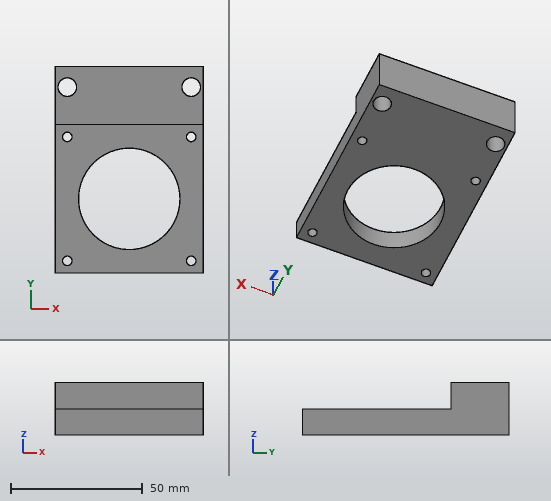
import cadquery as cq

width = 56.4
length = 78.5
height = 20.0

plate_thickness = 10.0
block_length = length - width
plate_center_y = (width - length) / 2
block_center_y = (length - block_length) / 2

bore_diameter = 38.5
screw_diameter = 3.5
hole_pitch = 47.1
mount_diameter = 7.0
mount_back_offset = 7.85
mount_y = length / 2 - mount_back_offset


def box_on_base(size_y, size_z, center_y):
    """Full-width box resting on Z = 0."""
    return (
        cq.Workplane("XY")
        .center(0, center_y)
        .rect(width, size_y)
        .extrude(size_z)
    )


def through_holes(diameter, points):
    """Vertical cylinders that pass through the full height."""
    return cq.Workplane("XY").pushPoints(points).circle(diameter / 2).extrude(height)


half_pitch = hole_pitch / 2
screw_points = [
    (x, plate_center_y + y)
    for x in (-half_pitch, half_pitch)
    for y in (-half_pitch, half_pitch)
]
mount_points = [(x, mount_y) for x in (-half_pitch, half_pitch)]

plate = box_on_base(length, plate_thickness, 0)
block = box_on_base(block_length, height, block_center_y)

result = (
    plate.union(block)
    .cut(through_holes(bore_diameter, [(0, plate_center_y)]))
    .cut(through_holes(screw_diameter, screw_points))
    .cut(through_holes(mount_diameter, mount_points))
)